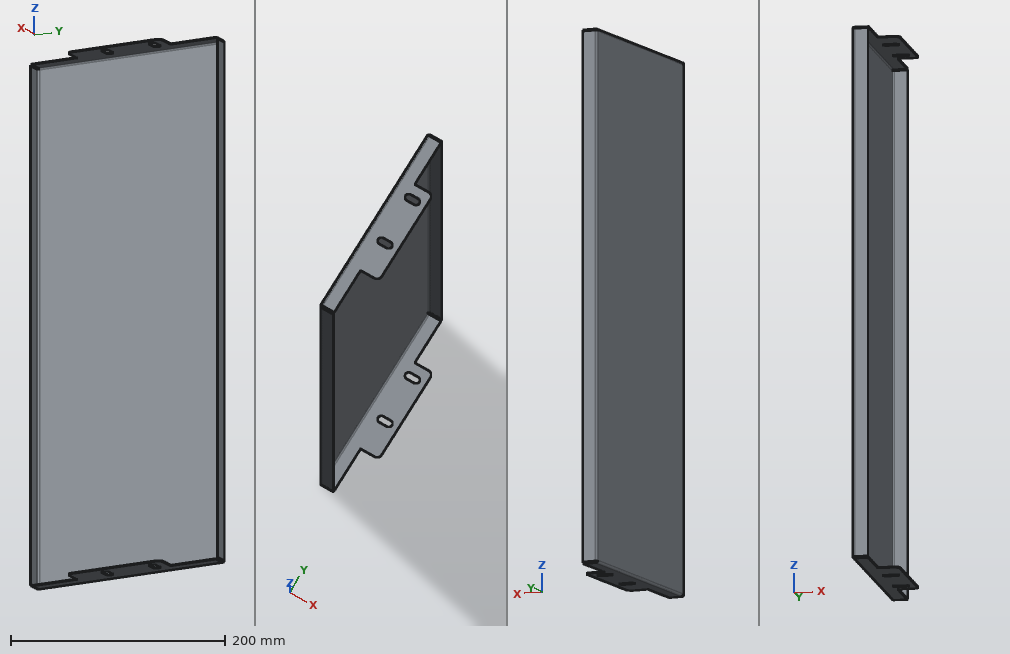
import cadquery as cq

panel_width = 199.0
panel_height = 507.0
flange_depth = 15.0
sheet = 1.0
bend_radius = 2.4

tab_width = 99.0
tab_reach = 35.0
tab_corner_radius = 5.0

slot_length = 15.0
slot_width = 7.0
slot_x = 20.75
slot_spacing = 50.0
slot_middle_y = 10.5

corner_relief = 1.8


def make_pan():
    """Hollow tray with folded edges, open towards +X."""
    outer = (
        cq.Workplane("YZ")
        .rect(panel_width, panel_height)
        .extrude(flange_depth)
        .faces("<X")
        .edges()
        .fillet(bend_radius)
    )
    inner = (
        cq.Workplane("YZ", origin=(sheet, 0, 0))
        .rect(panel_width - 2 * sheet, panel_height - 2 * sheet)
        .extrude(flange_depth)
        .faces("<X")
        .edges()
        .fillet(bend_radius - sheet)
    )
    return outer.cut(inner)


def make_corner_reliefs():
    """Square columns that separate the flanges at the four corners."""
    return (
        cq.Workplane("YZ")
        .rect(panel_width, panel_height, forConstruction=True)
        .vertices()
        .rect(2 * corner_relief, 2 * corner_relief)
        .extrude(flange_depth)
    )


def make_tab(bottom_z):
    """Flat tab continuing a flange, with its lower surface at bottom_z."""
    length = tab_reach - bend_radius
    return (
        cq.Workplane("XY", origin=(bend_radius + length / 2, 0, bottom_z))
        .rect(length, tab_width)
        .extrude(sheet)
        .edges("|Z and >X")
        .fillet(tab_corner_radius)
    )


def make_slots():
    """Slots running through both tabs, long side along X."""
    slot_centres = [(slot_x, slot_middle_y + side * slot_spacing / 2) for side in (-1, 1)]
    return (
        cq.Workplane("XY", origin=(0, 0, -panel_height / 2))
        .pushPoints(slot_centres)
        .slot2D(slot_length, slot_width)
        .extrude(panel_height)
    )


panel = make_pan().cut(make_corner_reliefs())
for tab_bottom_z in (-panel_height / 2, panel_height / 2 - sheet):
    panel = panel.union(make_tab(tab_bottom_z))
result = panel.cut(make_slots())